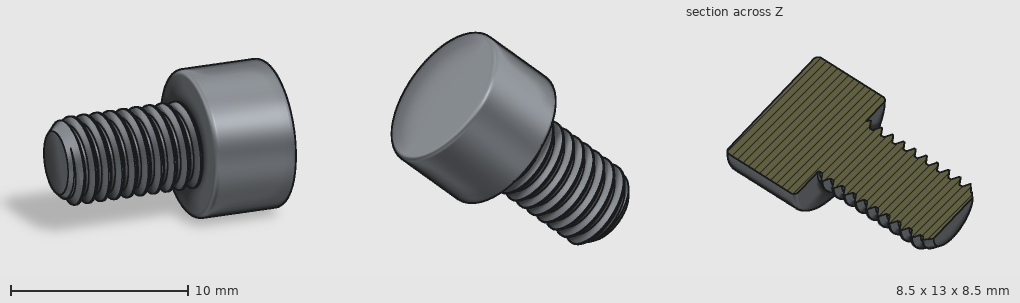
import cadquery as cq
import math

HEAD_DIAMETER = 8.5
HEAD_HEIGHT = 5.0
HEAD_EDGE_RADIUS = 0.3

SHANK_LENGTH = 8.0
MAJOR_DIAMETER = 5.0
PITCH = 0.8
FLANK_ANGLE = 60.0
FIRST_CREST_OFFSET = 0.15
TIP_DIAMETER = 3.62
TIP_CHAMFER_ANGLE = 45.0

FLANK_SLOPE = math.tan(math.radians(FLANK_ANGLE / 2))
SHARP_HEIGHT = PITCH / 2 / FLANK_SLOPE
THREAD_DEPTH = SHARP_HEIGHT * 5 / 8
CREST_WIDTH = PITCH / 8
MAJOR_RADIUS = MAJOR_DIAMETER / 2
MINOR_RADIUS = MAJOR_RADIUS - THREAD_DEPTH

RIDGE_OVERLAP = 0.05
ENVELOPE_CLEARANCE = 1.0
EXTRA_TURNS = 2


def make_head():
    head = cq.Workplane("XY").circle(HEAD_DIAMETER / 2).extrude(HEAD_HEIGHT)
    return head.edges("%CIRCLE").fillet(HEAD_EDGE_RADIUS)


def make_core():
    return cq.Workplane("XY").circle(MINOR_RADIUS).extrude(-SHANK_LENGTH)


def make_thread_ridge():
    """Helical ridge running from inside the head to beyond the tip."""
    root_radius = MINOR_RADIUS - RIDGE_OVERLAP
    half_crest = CREST_WIDTH / 2
    half_root = half_crest + (MAJOR_RADIUS - root_radius) * FLANK_SLOPE

    turns = math.ceil(SHANK_LENGTH / PITCH) + EXTRA_TURNS
    start = PITCH - FIRST_CREST_OFFSET - turns * PITCH
    helix = cq.Wire.makeHelix(PITCH, turns * PITCH, root_radius).translate(cq.Vector(0, 0, start))

    profile = cq.Workplane("XZ").polyline([
        (root_radius, start - half_root),
        (MAJOR_RADIUS, start - half_crest),
        (MAJOR_RADIUS, start + half_crest),
        (root_radius, start + half_root),
    ]).close()
    return profile.sweep(cq.Workplane(helix), isFrenet=True)


def make_tip_envelope():
    """Solid of revolution that trims the shank to its length and chamfered tip."""
    tip_radius = TIP_DIAMETER / 2
    outer_radius = MAJOR_RADIUS + ENVELOPE_CLEARANCE
    chamfer_height = (outer_radius - tip_radius) * math.tan(math.radians(TIP_CHAMFER_ANGLE))
    top = HEAD_HEIGHT / 2
    outline = cq.Workplane("XZ").polyline([
        (0, -SHANK_LENGTH),
        (tip_radius, -SHANK_LENGTH),
        (outer_radius, -SHANK_LENGTH + chamfer_height),
        (outer_radius, top),
        (0, top),
    ]).close()
    return outline.revolve(360, (0, 0, 0), (0, 1, 0))


shank = make_core().union(make_thread_ridge()).intersect(make_tip_envelope())
screw = make_head().union(shank)
result = screw.rotate((0, 0, 0), (1, 0, 0), -90)